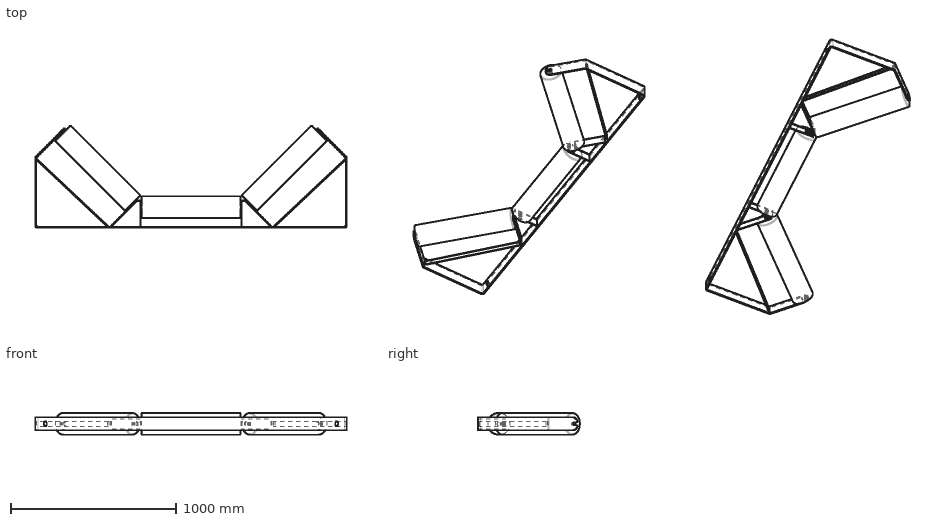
import cadquery as cq
import math


frame_length = 1890.0
overall_height = 618.57
half_length = frame_length / 2
trough_angle = 45.0
diagonal = math.sqrt(0.5)

roller_radius = 133.0 / 2
roller_length = 600.0
rim_fillet = 5.0
axle_diameter = 20.0
axle_radius = axle_diameter / 2
half_roller = roller_length / 2

strip_width = 80.0
strip_thickness = 8.0
base_bend_radius = 15.0
arm_gap = 7.0
arm_end_distance = 30.0

bracket_thickness = 5.0
bracket_width = 60.0
bracket_top = 166.0
bracket_gap = 4.0

brace_width = 32.0
brace_thickness = 6.0
brace_foot_x = 504.0
brace_drop = 4.0

slot_offset = 62.0
slot_width = 16.0
slot_height = 26.0

middle_roller_y = 125.0
side_edge_x = 730.6
rim_loss = rim_fillet * (1 / diagonal - 1)
side_edge_y = overall_height + rim_loss
side_x = side_edge_x + (roller_radius - half_roller) * diagonal
side_y = side_edge_y - (roller_radius + half_roller) * diagonal

arm_inner = half_roller + arm_gap
arm_outer = arm_inner + strip_thickness
bracket_near = half_roller + bracket_gap
bracket_far = bracket_near + bracket_thickness

wall_inner_x = half_length - strip_thickness
wall_top_y = side_x + side_y + arm_inner / diagonal - wall_inner_x
arm_root = (side_x + arm_inner * diagonal - wall_inner_x) / diagonal


def place_middle(body):
    """Move a body built about a roller axis on X to the middle roller."""
    return body.translate((0, middle_roller_y, 0))


def place_side(body):
    """Tilt a body built about a roller axis on X into the right-hand side roller's place."""
    tilted = body.rotate((0, 0, 0), (0, 0, 1), trough_angle)
    return tilted.translate((side_x, side_y, 0))


def mirrored(body):
    """The left-hand copy of a right-hand body."""
    return body.mirror("YZ")


def roller(inner_reach, outer_reach):
    """Roller on the X axis; its axle ends lie at -inner_reach and +outer_reach."""
    drum = cq.Workplane("YZ", origin=(-half_roller, 0, 0)).circle(roller_radius).extrude(roller_length)
    drum = drum.edges().fillet(rim_fillet)
    axle_face = cq.Workplane("YZ", origin=(-inner_reach, 0, 0))
    axle = axle_face.circle(axle_radius).extrude(inner_reach + outer_reach)
    return drum.union(axle)


def axle_notch(start, thickness):
    """Round-bottomed slot for an axle on the X axis, open towards +Y."""
    depth = roller_radius
    face = cq.Workplane("YZ", origin=(start, 0, 0))
    seat = face.circle(axle_radius).extrude(thickness)
    opening = face.center(depth / 2, 0).rect(depth, axle_diameter).extrude(thickness)
    return seat.union(opening)


def base_and_wall():
    """Right half of the base, its bend, the side wall and the bend into the arm."""
    inner_bend_radius = base_bend_radius - strip_thickness
    arm_bend_end = (wall_inner_x + strip_thickness * diagonal, wall_top_y + strip_thickness * diagonal)
    outline = (
        cq.Workplane("XY", origin=(0, 0, -strip_width / 2))
        .lineTo(half_length - base_bend_radius, 0)
        .radiusArc((half_length, base_bend_radius), -base_bend_radius)
        .lineTo(half_length, wall_top_y)
        .radiusArc(arm_bend_end, -strip_thickness)
        .lineTo(wall_inner_x, wall_top_y)
        .lineTo(wall_inner_x, base_bend_radius)
        .radiusArc((wall_inner_x - inner_bend_radius, strip_thickness), inner_bend_radius)
        .lineTo(0, strip_thickness)
        .close()
    )
    slot = (
        cq.Workplane("XZ", origin=(half_length - slot_offset, strip_thickness, 0))
        .slot2D(slot_height, slot_width, 90)
        .extrude(strip_thickness)
    )
    return outline.extrude(strip_width).cut(slot)


def arm():
    """Tilted strip with a half-round tip, notched for the outer axle end."""
    half_width = strip_width / 2
    tip_centre = arm_end_distance - half_width
    outline = (
        cq.Workplane("YZ", origin=(arm_inner, 0, 0))
        .moveTo(arm_root, -half_width)
        .lineTo(tip_centre, -half_width)
        .threePointArc((arm_end_distance, 0), (tip_centre, half_width))
        .lineTo(arm_root, half_width)
        .close()
    )
    blank = outline.extrude(strip_thickness)
    return place_side(blank.cut(axle_notch(arm_inner, strip_thickness)))


def inner_bracket():
    """Upright and tilted leg joined by a flat top, notched for both axle ends."""

    def tilted_leg_point(along, y):
        """Point at height y on the tilted leg face at this distance from the roller middle."""
        return (side_x + side_y - along / diagonal - y, y)

    under_top = bracket_top - bracket_thickness
    outline = [
        (bracket_near, strip_thickness),
        (bracket_near, bracket_top),
        tilted_leg_point(bracket_near, bracket_top),
        tilted_leg_point(bracket_near, strip_thickness),
        tilted_leg_point(bracket_far, strip_thickness),
        tilted_leg_point(bracket_far, under_top),
        (bracket_far, under_top),
        (bracket_far, strip_thickness),
    ]
    face = cq.Workplane("XY", origin=(0, 0, -bracket_width / 2))
    blank = face.polyline(outline).close().extrude(bracket_width)
    middle_notch = place_middle(axle_notch(bracket_near, bracket_thickness))
    side_notch = place_side(axle_notch(-bracket_far, bracket_thickness))
    return blank.cut(middle_notch).cut(side_notch)


def brace():
    """Flat bar from the top of the side wall down to the base."""
    head_y = wall_top_y - brace_drop
    run = wall_inner_x - brace_foot_x
    rise = head_y - strip_thickness
    length = math.hypot(run, rise)
    foot_half = brace_thickness / 2 * length / rise
    head_height = brace_thickness * length / run
    outline = [
        (brace_foot_x - foot_half, strip_thickness),
        (brace_foot_x + foot_half, strip_thickness),
        (wall_inner_x, head_y - head_height),
        (wall_inner_x, head_y),
    ]
    face = cq.Workplane("XY", origin=(0, 0, -brace_width / 2))
    return face.polyline(outline).close().extrude(brace_width)


right_half = base_and_wall().union(arm()).union(inner_bracket()).union(brace())
frame = right_half.union(mirrored(right_half))

middle_roller = place_middle(roller(bracket_far, bracket_far))
right_roller = place_side(roller(bracket_far, arm_outer))
left_roller = mirrored(right_roller)

result = cq.Compound.makeCompound(
    [frame.val(), middle_roller.val(), right_roller.val(), left_roller.val()]
)